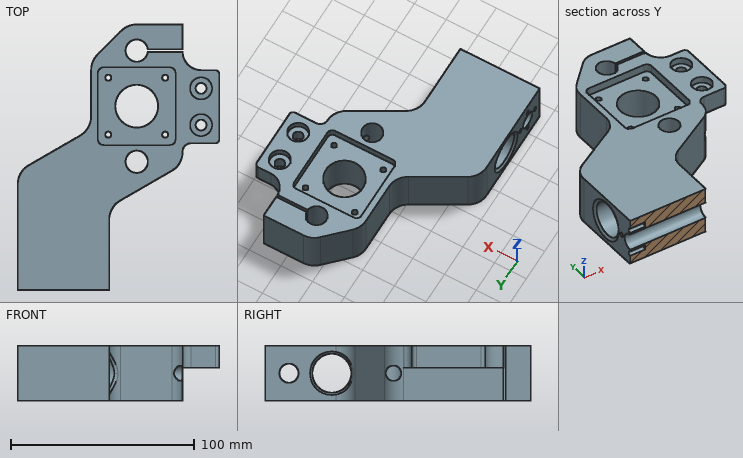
import cadquery as cq
import math

length = 145.0
height = 30.0
leg_width = 50.0
head_left = 40.0
head_right = 90.0
slope = math.tan(math.radians(30))
left_neck_start = 64.7
right_neck_start = 45.4
head_chamfer = 20.0
corner_radius = 12.0

ear_right = 110.0
ear_bottom = 80.0
ear_top = 120.0
ear_thickness = 12.0
ear_upper_radius = 10.0
ear_lower_radius = 4.5
ear_corner_radius = 2.3
ear_hole_x = 100.0
ear_hole_spacing = 20.0
ear_hole_diameter = 5.8
ear_counterbore_diameter = 12.0
ear_counterbore_depth = 4.0

motor_x = 65.0
motor_y = 100.3
pocket_size = 42.3
pocket_depth = 5.0
pocket_corner_radius = 3.0
motor_bore_diameter = 23.2
motor_screw_spacing = 31.0
motor_screw_diameter = 3.2
rod_offset = 30.3
rod_diameter = 12.0
clamp_slit_width = 1.5
set_screw_diameter = 8.4

large_bore_y = 36.4
large_bore_diameter = 21.2
entry_chamfer_width = 1.9
entry_chamfer_depth = 1.2
exit_chamfer_width = 1.3
exit_chamfer_depth = 0.9
small_bore_y = 13.0
small_bore_diameter = 10.3
bore_screw_circle_radius = 8.0
bore_screw_diameter = 2.6
bore_screw_depth = 10.0

margin = 0.1
middle_z = height / 2
ear_middle_y = (ear_bottom + ear_top) / 2
lower_rod_y = motor_y - rod_offset
upper_rod_y = motor_y + rod_offset


def vertical_cylinder(x, y, diameter, bottom=0.0, top=height):
    return cq.Workplane("XY", origin=(x, y, bottom)).circle(diameter / 2).extrude(top - bottom)


def cross_cylinder(y, z, diameter, start, end):
    return cq.Workplane("YZ", origin=(start, y, z)).circle(diameter / 2).extrude(end - start)


def round_vertical_edge(body, x, y, radius):
    selector = cq.selectors.BoxSelector(
        (x - margin, y - margin, 0),
        (x + margin, y + margin, height),
    )
    return body.edges("|Z").edges(selector).fillet(radius)


def make_body():
    left_neck_end = left_neck_start + slope * head_left
    right_neck_end = right_neck_start + slope * (head_right - leg_width)
    body = (
        cq.Workplane("XY")
        .moveTo(0, 0)
        .lineTo(leg_width, 0)
        .lineTo(leg_width, right_neck_start)
        .lineTo(head_right, right_neck_end)
        .lineTo(head_right, length)
        .lineTo(head_left + head_chamfer, length)
        .lineTo(head_left, length - head_chamfer)
        .lineTo(head_left, left_neck_end)
        .lineTo(0, left_neck_start)
        .close()
        .extrude(height)
    )
    rounded_corners = [
        (leg_width, right_neck_start),
        (head_right, right_neck_end),
        (head_left + head_chamfer, length),
        (head_left, length - head_chamfer),
        (head_left, left_neck_end),
        (0, left_neck_start),
    ]
    for x, y in rounded_corners:
        body = round_vertical_edge(body, x, y, corner_radius)
    return body


def add_ear(body):
    ear = (
        cq.Workplane("XY", origin=(0, 0, height - ear_thickness))
        .moveTo(motor_x, ear_bottom)
        .lineTo(ear_right, ear_bottom)
        .lineTo(ear_right, ear_top)
        .lineTo(motor_x, ear_top)
        .close()
        .extrude(ear_thickness)
        .edges("|Z and >X")
        .fillet(ear_corner_radius)
    )
    body = body.union(ear)
    body = round_vertical_edge(body, head_right, ear_top, ear_upper_radius)
    body = round_vertical_edge(body, head_right, ear_bottom, ear_lower_radius)
    for side in (-1, 1):
        y = ear_middle_y + side * ear_hole_spacing / 2
        body = body.cut(vertical_cylinder(ear_hole_x, y, ear_hole_diameter))
        floor = height - ear_counterbore_depth
        body = body.cut(vertical_cylinder(ear_hole_x, y, ear_counterbore_diameter, floor))
    return body


def cut_motor_seat(body):
    pocket = (
        cq.Workplane("XY", origin=(motor_x, motor_y, height - pocket_depth))
        .rect(pocket_size, pocket_size)
        .extrude(pocket_depth)
        .edges("|Z")
        .fillet(pocket_corner_radius)
    )
    body = body.cut(pocket).cut(vertical_cylinder(motor_x, motor_y, motor_bore_diameter))
    for side_x in (-1, 1):
        for side_y in (-1, 1):
            x = motor_x + side_x * motor_screw_spacing / 2
            y = motor_y + side_y * motor_screw_spacing / 2
            body = body.cut(vertical_cylinder(x, y, motor_screw_diameter))
    return body


def cut_rod_holes(body):
    for y in (lower_rod_y, upper_rod_y):
        body = body.cut(vertical_cylinder(motor_x, y, rod_diameter))
    slit_length = head_right - motor_x
    slit_start = cq.Workplane("XY", origin=(motor_x, upper_rod_y, 0))
    slit = slit_start.box(slit_length, clamp_slit_width, height, centered=(False, True, False))
    body = body.cut(slit)
    return body.cut(cross_cylinder(lower_rod_y, middle_z, set_screw_diameter, motor_x, head_right))


def edges_near_large_bore(body, start, end):
    half = large_bore_diameter / 2 + margin
    near = cq.selectors.BoxSelector(
        (start, large_bore_y - half, middle_z - half),
        (end, large_bore_y + half, middle_z + half),
    )
    return body.edges(near)


def cut_large_bore(body):
    body = body.cut(cross_cylinder(large_bore_y, middle_z, large_bore_diameter, 0, head_right))
    entry = edges_near_large_bore(body, -margin, margin)
    body = entry.chamfer(entry_chamfer_width, entry_chamfer_depth)
    leaving = edges_near_large_bore(body, leg_width - margin, leg_width + corner_radius / 2)
    return leaving.edges("not |Z").chamfer(exit_chamfer_depth, exit_chamfer_width)


def cut_small_bore(body):
    body = body.cut(cross_cylinder(small_bore_y, middle_z, small_bore_diameter, 0, leg_width))
    offset = bore_screw_circle_radius
    for dy, dz in ((offset, 0), (-offset, 0), (0, offset), (0, -offset)):
        screw = cross_cylinder(small_bore_y + dy, middle_z + dz, bore_screw_diameter, 0, bore_screw_depth)
        body = body.cut(screw)
    return body


result = make_body()
result = add_ear(result)
result = cut_motor_seat(result)
result = cut_rod_holes(result)
result = cut_large_bore(result)
result = cut_small_bore(result)